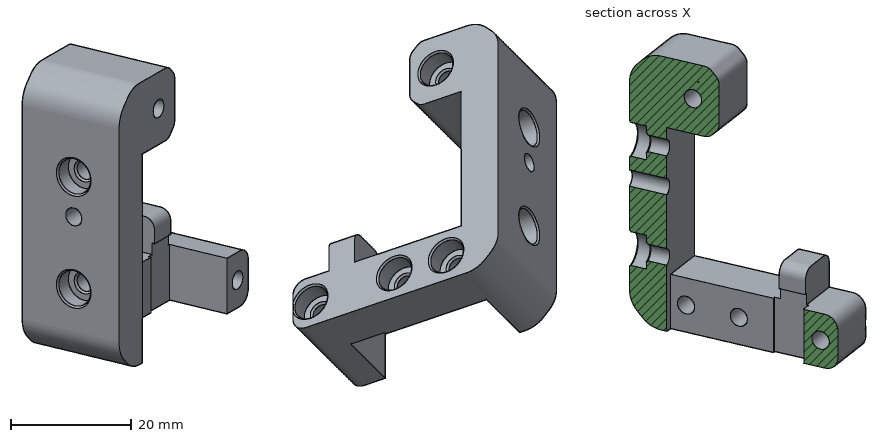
import cadquery as cq

width = 19.2
length = 39.5
height = 50.4

column_depth = 7.1
head_length = 17.05
head_height = 13.0
base_height = 10.0
heel_chamfer = 4.0
heel_radius = 5.0
head_chamfer = 2.0
head_radius = 2.0
toe_radius = 2.5

web_width = 8.3
toe_block_length = 6.55
relief_depth = 0.45
relief_length = 6.4
tab_start = 27.6
tab_thickness = 5.0
tab_height = 6.5
tab_radius = 2.0
tab_lip_rise = 2.0

bore_diameter = 3.25
counterbore_diameter = 6.25
side_counterbore_depth = 3.4
front_counterbore_depth = 3.2
mouth_chamfer = 0.3
bore_chamfer = 0.35
base_hole_ys = (10.05, 20.0, 36.2)
base_hole_z = base_height / 2
head_hole_y = 12.05
head_hole_z = height - head_height / 2
column_hole_x = 10.25
column_hole_zs = (13.7, 33.75)
pin_diameter = 3.2
pin_z = 26.6


def edge_at(y, z):
    """Select the X-directed profile edge at the given corner."""
    tolerance = 0.005
    return cq.selectors.BoxSelector(
        (-0.5, y - tolerance, z - tolerance),
        (width + 0.5, y + tolerance, z + tolerance),
    )


def blunt_corner(body, y, z, y_inward, z_inward, chamfer, radius):
    """Chamfer a profile corner and round both edges the chamfer leaves."""
    body = body.edges(edge_at(y, z)).chamfer(chamfer)
    body = body.edges(edge_at(y + y_inward * chamfer, z)).fillet(radius)
    return body.edges(edge_at(y, z + z_inward * chamfer)).fillet(radius)


def make_frame():
    """C-shaped frame extruded across the full width."""
    head_bottom = height - head_height
    body = (
        cq.Workplane("YZ")
        .moveTo(0, 0)
        .lineTo(length, 0)
        .lineTo(length, base_height)
        .lineTo(column_depth, base_height)
        .lineTo(column_depth, head_bottom)
        .lineTo(head_length, head_bottom)
        .lineTo(head_length, height)
        .lineTo(0, height)
        .close()
        .extrude(width)
    )
    for z, inward in ((0, 1), (height, -1)):
        body = blunt_corner(body, 0, z, 1, inward, heel_chamfer, heel_radius)
    for z, inward in ((head_bottom, 1), (height, -1)):
        body = blunt_corner(body, head_length, z, -1, inward, head_chamfer, head_radius)
    for z in (0, base_height):
        body = body.edges(edge_at(length, z)).fillet(toe_radius)
    return body


def box_between(low, high):
    """Axis-aligned box between two opposite corners."""
    size = [b - a for a, b in zip(low, high)]
    return cq.Workplane("XY").box(*size, centered=False).translate(low)


def make_notch():
    """Opening beside the base web, with a shallow relief at its toe end."""
    toe_face = length - toe_block_length
    opening = box_between((web_width, column_depth, 0), (width, toe_face, base_height))
    relief = box_between(
        (web_width - relief_depth, toe_face - relief_length, 0),
        (width, toe_face, base_height),
    )
    return opening.union(relief)


def make_tab():
    """Upright tab with rounded top corners and a lip overhanging the relief."""
    tab_end = tab_start + tab_thickness
    tab = box_between(
        (0, tab_start, base_height),
        (web_width, tab_end, base_height + tab_height),
    )
    tab = tab.edges("|Y and >Z").fillet(tab_radius)
    undercut = box_between(
        (web_width - relief_depth, tab_start, base_height),
        (web_width, tab_end, base_height + tab_lip_rise),
    )
    return tab.cut(undercut)


def counterbored_hole(position, direction, depth, through):
    """Cutter for a counterbored hole with chamfered mouth and bore edges."""
    bore_r = bore_diameter / 2
    counterbore_r = counterbore_diameter / 2
    profile = (
        cq.Workplane("XY")
        .moveTo(0, 0)
        .lineTo(counterbore_r + mouth_chamfer, 0)
        .lineTo(counterbore_r, mouth_chamfer)
        .lineTo(counterbore_r, depth)
        .lineTo(bore_r + bore_chamfer, depth)
        .lineTo(bore_r, depth + bore_chamfer)
        .lineTo(bore_r, through)
        .lineTo(0, through)
        .close()
        .revolve(360, (0, 0, 0), (0, 1, 0))
    )
    if direction == "X":
        profile = profile.rotate((0, 0, 0), (0, 0, 1), -90)
    return profile.translate(position)


def side_hole(y, z):
    """Hole through the full width, counterbored from the X = 0 face."""
    return counterbored_hole((0, y, z), "X", side_counterbore_depth, width)


def front_hole(x, z):
    """Hole through the column, counterbored from the Y = 0 face."""
    return counterbored_hole((x, 0, z), "Y", front_counterbore_depth, column_depth)


result = make_frame().cut(make_notch()).union(make_tab())
for hole_y in base_hole_ys:
    result = result.cut(side_hole(hole_y, base_hole_z))
result = result.cut(side_hole(head_hole_y, head_hole_z))
for hole_z in column_hole_zs:
    result = result.cut(front_hole(column_hole_x, hole_z))
pin_hole = (
    cq.Workplane("XZ", origin=(column_hole_x, 0, pin_z))
    .circle(pin_diameter / 2)
    .extrude(-column_depth)
)
result = result.cut(pin_hole)